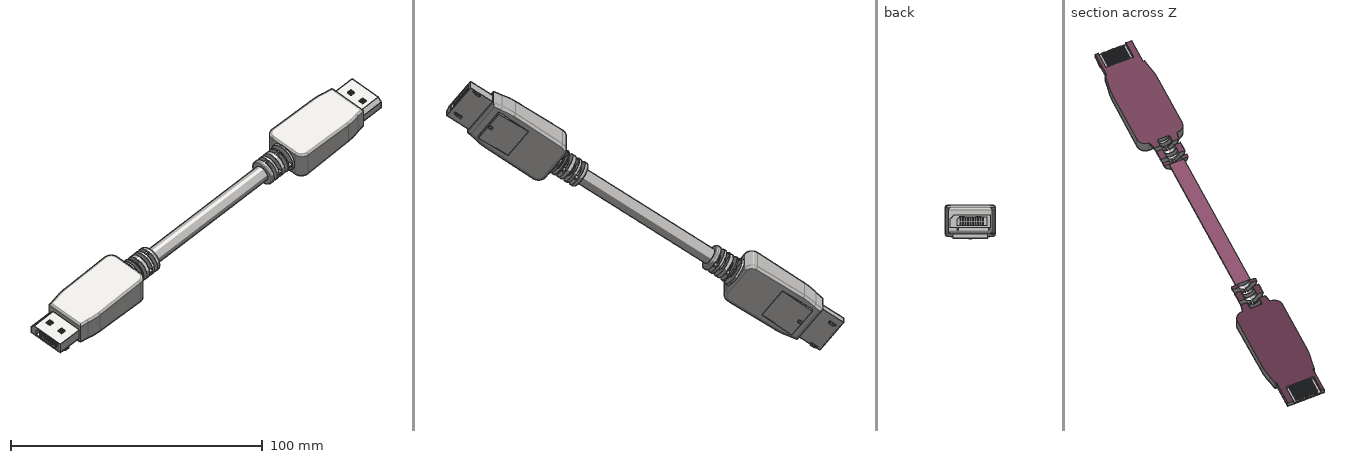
import cadquery as cq
import math

tip_y = 92.0

cable_radius = 3.3

grip_front_y = 81.1
grip_bend_y = 77.3
grip_full_y = 71.2
grip_rear_y = 44.3
grip_front_half_width = 8.6
grip_bend_half_width = 9.2
grip_half_width = 10.0
grip_corner_radius = 3.7
grip_top_front_z = 5.3
grip_top_rear_z = 6.5
grip_bottom_front_z = -5.0
grip_bottom_rear_z = -6.3
grip_top_edge_radius = 1.0
grip_bottom_edge_radius = 1.1

button_width = 13.8
button_front_y = 77.3
button_rear_y = 62.5
button_front_z = -6.8
button_rear_z = -5.7
nub_width = 1.1
nub_length = 1.7
nub_bottom_z = -7.2
nub_gap = 0.2

shell_width = 16.0
shell_height = 5.0
shell_half_height = shell_height / 2
key_chamfer = 1.7
window_size = 2.0
window_spacing = 6.5
window_depth = 0.5
window_y = tip_y - 5.7

mouth_left_x = -6.6
mouth_right_x = 5.3
mouth_half_height = 1.7
mouth_chamfer = 1.1
mouth_depth = 7.4
contact_count = 10
contact_pitch = 1.0
contact_width = 0.46
contact_height = 1.38
contact_setback = 0.5

hook_xs = [-7.5, 5.0]
hook_width = 0.7
hook_height = 1.1
hook_ramp_start_y = tip_y - 1.7
hook_ramp_end_y = tip_y - 3.0
hook_rear_y = tip_y - 5.0

relief_end_y = 31.8
relief_base_radius = 6.0
relief_radius = 5.3
relief_taper_end_y = 41.0
relief_bore_radius = 2.5
relief_end_fillet = 0.5
slot_width = 1.7
slot_starts = [41.8, 39.5, 36.2, 33.5]
web_thickness = 0.7


def box_between(x_range, y_range, z_range):
    """Box spanning the given ranges along X, Y and Z."""
    size = [high - low for low, high in (x_range, y_range, z_range)]
    return cq.Workplane("XY").box(*size, centered=False).translate((x_range[0], y_range[0], z_range[0]))


def side_profile(points, half_width, x_middle=0.0):
    """Extrude a (Y, Z) outline along X, symmetric about x_middle."""
    return (
        cq.Workplane("YZ", origin=(x_middle, 0, 0))
        .polyline(points)
        .close()
        .extrude(half_width, both=True)
    )


def mirrored(point):
    """Reflect an (X, Y) point across the Y axis."""
    return (-point[0], point[1])


def make_grip():
    """Grip with a tapered nose, rounded rear corners and a slightly wedge-shaped side."""
    corner_x = grip_half_width - grip_corner_radius
    corner_y = grip_rear_y + grip_corner_radius
    corner_mid = grip_corner_radius * math.sqrt(0.5)
    bend = (grip_bend_half_width, grip_bend_y)
    full = (grip_half_width, grip_full_y)
    rise = grip_bend_y - grip_full_y
    inset = grip_half_width - grip_bend_half_width
    side_radius = (rise**2 + inset**2) / (2 * inset)
    half_angle = math.asin(rise / side_radius) / 2
    side_mid = (
        grip_half_width - side_radius * (1 - math.cos(half_angle)),
        grip_full_y + side_radius * math.sin(half_angle),
    )

    rear_mid = (corner_x + corner_mid, corner_y - corner_mid)
    plan = (
        cq.Workplane("XY", origin=(0, 0, nub_bottom_z))
        .moveTo(-grip_front_half_width, grip_front_y)
        .lineTo(grip_front_half_width, grip_front_y)
        .lineTo(*bend)
        .threePointArc(side_mid, full)
        .lineTo(grip_half_width, corner_y)
        .threePointArc(rear_mid, (corner_x, grip_rear_y))
        .lineTo(-corner_x, grip_rear_y)
        .threePointArc(mirrored(rear_mid), (-grip_half_width, corner_y))
        .lineTo(*mirrored(full))
        .threePointArc(mirrored(side_mid), mirrored(bend))
        .close()
        .extrude(grip_top_rear_z - nub_bottom_z)
    )
    wedge = side_profile(
        [
            (grip_front_y, grip_top_front_z),
            (grip_rear_y, grip_top_rear_z),
            (grip_rear_y, grip_bottom_rear_z),
            (grip_front_y, grip_bottom_front_z),
        ],
        grip_half_width,
    )
    grip = plan.intersect(wedge)
    grip = grip.faces(">Z").edges().fillet(grip_top_edge_radius)
    return grip.faces("<Z").edges().fillet(grip_bottom_edge_radius)


def make_button():
    """Sloping latch button under the grip, with a small nub at its front."""
    button = side_profile(
        [
            (button_front_y, 0),
            (button_rear_y, 0),
            (button_rear_y, button_rear_z),
            (button_front_y, button_front_z),
        ],
        button_width / 2,
    )
    nub_front_y = button_front_y - nub_gap
    nub = box_between(
        (-nub_width / 2, nub_width / 2),
        (nub_front_y - nub_length, nub_front_y),
        (nub_bottom_z, 0),
    )
    return button.union(nub)


def keyed_bar(x_range, y_range, half_height, chamfer):
    """Rectangular bar along Y with its upper +X edge cut off as a key."""
    bar = box_between(x_range, y_range, (-half_height, half_height))
    return bar.edges("|Y and >X and >Z").chamfer(chamfer)


def make_hook(x):
    """Ramped hook below the shell."""
    bottom = -shell_half_height - hook_height
    return side_profile(
        [
            (hook_ramp_start_y, -shell_half_height),
            (hook_ramp_end_y, bottom),
            (hook_rear_y, bottom),
            (hook_rear_y, -shell_half_height),
        ],
        hook_width / 2,
        x,
    )


def make_connector():
    """Keyed shell with a contact-lined mouth, two shallow windows on top and two hooks below."""
    shell = keyed_bar(
        (-shell_width / 2, shell_width / 2), (grip_front_y, tip_y), shell_half_height, key_chamfer
    )
    mouth_back_y = tip_y - mouth_depth
    mouth = keyed_bar(
        (mouth_left_x, mouth_right_x), (mouth_back_y, tip_y), mouth_half_height, mouth_chamfer
    )

    mouth_middle_x = (mouth_left_x + mouth_right_x) / 2
    contact_y = (mouth_back_y, tip_y - contact_setback)
    contact_inner_z = mouth_half_height - contact_height
    for index in range(contact_count):
        x = mouth_middle_x + (index - (contact_count - 1) / 2) * contact_pitch
        contact_x = (x - contact_width / 2, x + contact_width / 2)
        mouth = mouth.cut(box_between(contact_x, contact_y, (contact_inner_z, mouth_half_height)))
        mouth = mouth.cut(box_between(contact_x, contact_y, (-mouth_half_height, -contact_inner_z)))
    connector = shell.cut(mouth)

    for x in (-window_spacing / 2, window_spacing / 2):
        window = box_between(
            (x - window_size / 2, x + window_size / 2),
            (window_y - window_size / 2, window_y + window_size / 2),
            (shell_half_height - window_depth, shell_half_height),
        )
        connector = connector.cut(window)
    for x in hook_xs:
        connector = connector.union(make_hook(x))
    return connector


def make_strain_relief():
    """Hollow boot whose rings are joined by thin webs, level and upright in turn."""
    boot = (
        cq.Workplane("XY")
        .moveTo(0, relief_end_y)
        .lineTo(relief_radius, relief_end_y)
        .lineTo(relief_radius, relief_taper_end_y)
        .lineTo(relief_base_radius, grip_rear_y)
        .lineTo(0, grip_rear_y)
        .close()
        .revolve(360, (0, 0, 0), (0, 1, 0))
        .faces("<Y")
        .edges()
        .fillet(relief_end_fillet)
    )
    reach = relief_base_radius
    for index, start in enumerate(slot_starts):
        slot_y = (start, start + slot_width)
        whole = box_between((-reach, reach), slot_y, (-reach, reach))
        half_web = web_thickness / 2
        if index % 2 == 0:
            web = box_between((-reach, reach), slot_y, (-half_web, half_web))
        else:
            web = box_between((-half_web, half_web), slot_y, (-reach, reach))
        boot = boot.cut(whole.cut(web))
    bore = (
        cq.Workplane("XZ", origin=(0, relief_end_y, 0))
        .circle(relief_bore_radius)
        .extrude(relief_end_y - grip_rear_y)
    )
    return boot.cut(bore)


def make_plug():
    """Plug on the +Y end of the cable: connector, grip, latch button and strain relief."""
    return make_grip().union(make_button()).union(make_connector()).union(make_strain_relief())


def make_cable():
    """Round cable held between the ends of the two strain reliefs."""
    return (
        cq.Workplane("XZ", origin=(0, relief_end_y, 0))
        .circle(cable_radius)
        .extrude(2 * relief_end_y)
    )


cable = make_cable()
plug = make_plug()
plugs = [plug.rotate((0, 0, 0), (0, 0, 1), turn) for turn in (0, 180)]

result = cq.Compound.makeCompound([cable.val(), *[turned.val() for turned in plugs]])